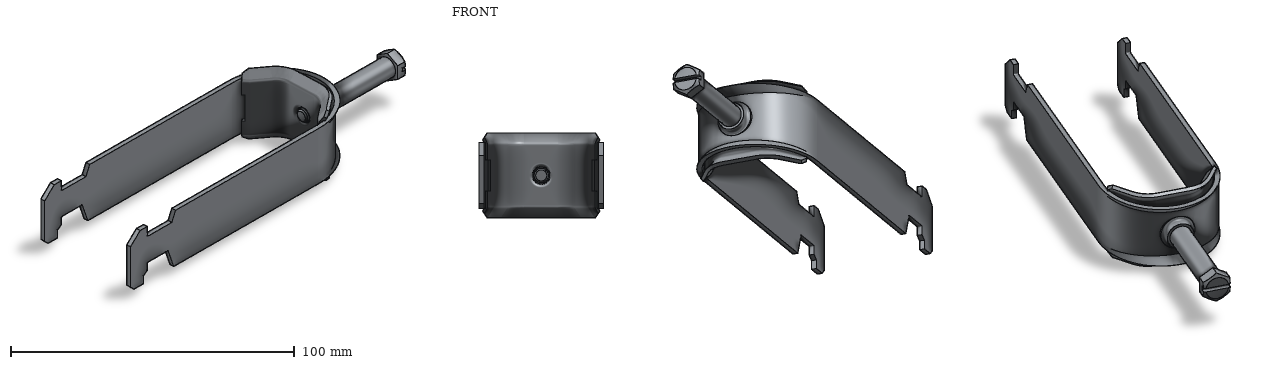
import cadquery as cq
import math

STRAP_WIDTH = 44.0
STRAP_THICKNESS = 1.9
STRAP_HEIGHT = 23.3
OUTER_RADIUS = STRAP_WIDTH / 2
INNER_RADIUS = OUTER_RADIUS - STRAP_THICKNESS
LEG_LENGTH = 95.1
CROWN_Y = LEG_LENGTH + OUTER_RADIUS
CROWN_INNER_Y = LEG_LENGTH + INNER_RADIUS
HALF_HEIGHT = STRAP_HEIGHT / 2

FLARE_HEIGHT = 2.8
FLARE_START_HEIGHT = 0.5
FLARE_GROWTH = (FLARE_HEIGHT - FLARE_START_HEIGHT) / OUTER_RADIUS

COLLAR_DIAMETER = 10.0
COLLAR_BASE_FILLET = 1.4

HOOK_LENGTH = 8.5
HOOK_CORNER_LENGTH = 4.9
HOOK_CORNER_HEIGHT = 4.5
HOOK_FOOT_CHAMFER = 1.7
HOOK_FOOT_LENGTH = 6.6
HOOK_FOOT_HEIGHT = 3.3
HOOK_FOOT_RISE = 1.4
UPPER_NECK_Z = 7.4
UPPER_NECK_END = 21.0
UPPER_SHOULDER = 22.8
LOWER_NECK_Z = -3.6
LOWER_NECK_END = 19.0
LOWER_SHOULDER = 21.9
NECK_FILLET = 0.5

TOTAL_LENGTH = 157.5
SHANK_DIAMETER = 8.0
NECK_DIAMETER = 6.6
TIP_DIAMETER = 5.0
TIP_FACE_DIAMETER = 4.0
TIP_Y = 109.3
HEAD_HEIGHT = 4.5
HEAD_ACROSS_FLATS = 10.1
HEAD_TOP_DIAMETER = 8.5
HEAD_CHAMFER_ANGLE = 30.0
SLOT_WIDTH = 1.4
SLOT_DEPTH = 2.0

SADDLE_THICKNESS = 1.4
SADDLE_HEIGHT = 30.0
SADDLE_FACE_Y = 109.6
SADDLE_BACK_Y = SADDLE_FACE_Y + SADDLE_THICKNESS
FLAT_HALF_WIDTH = 6.0
BEND_RADIUS = 7.1
WING_ANGLE = 53.0
WING_KINK_X = 16.5
TOE_ANGLE = 37.0
TOE_END_X = 18.9
KINK_RADIUS = 1.9
FLANGE_ANGLE = 40.0
FLANGE_FACE_LENGTH = 4.1
FLANGE_BEND_RADIUS = 2.0
FLANGE_CORNER_START_X = 19.0
FLANGE_CORNER_RUN = 1.9
FLANGE_CORNER_DROP = 2.8
SADDLE_HOLE_DIAMETER = 6.0
SADDLE_HOLE_ROUNDING = 1.4
NOTCH_HEIGHT = 11.0
NOTCH_FLOOR_X = 18.0


def y_cylinder(diameter, y_start, y_end):
    """Cylinder on the Y axis."""
    return (
        cq.Workplane("XZ", origin=(0, y_start, 0))
        .circle(diameter / 2)
        .extrude(y_start - y_end)
    )


def x_prism(outline):
    """Prism along X, wider than the strap, from (y, z) corners."""
    return (
        cq.Workplane("YZ", origin=(-STRAP_WIDTH, 0, 0))
        .polyline(outline)
        .close()
        .extrude(2 * STRAP_WIDTH)
    )


def band(height):
    """U-shaped band of the strap thickness, centred on z = 0."""
    return (
        cq.Workplane("XY", origin=(0, 0, -height / 2))
        .moveTo(-OUTER_RADIUS, 0)
        .lineTo(-OUTER_RADIUS, LEG_LENGTH)
        .threePointArc((0, CROWN_Y), (OUTER_RADIUS, LEG_LENGTH))
        .lineTo(OUTER_RADIUS, 0)
        .lineTo(INNER_RADIUS, 0)
        .lineTo(INNER_RADIUS, LEG_LENGTH)
        .threePointArc((0, CROWN_INNER_Y), (-INNER_RADIUS, LEG_LENGTH))
        .lineTo(-INNER_RADIUS, 0)
        .close()
        .extrude(height)
    )


def flared_band():
    """Band whose upper and lower edges lean 45 degrees towards +Y around the crown."""
    crease_start_y = LEG_LENGTH - FLARE_START_HEIGHT / FLARE_GROWTH
    crease_crown_z = HALF_HEIGHT - FLARE_HEIGHT
    tall = band(2 * STRAP_HEIGHT)
    body_outline = [
        (0, HALF_HEIGHT),
        (crease_start_y, HALF_HEIGHT),
        (CROWN_Y, crease_crown_z),
        (CROWN_Y, -crease_crown_z),
        (crease_start_y, -HALF_HEIGHT),
        (0, -HALF_HEIGHT),
    ]
    body = tall.intersect(x_prism(body_outline))
    slope_normal = cq.selectors.ParallelDirSelector(cq.Vector(0, FLARE_GROWTH, 1))
    slope = body.faces(slope_normal).faces(">Z").val()
    flare = cq.Workplane(cq.Solid.extrudeLinear(slope, cq.Vector(0, STRAP_HEIGHT, STRAP_HEIGHT)))
    flare = flare.intersect(
        cq.Workplane("XY").box(2 * TOTAL_LENGTH, 2 * TOTAL_LENGTH, STRAP_HEIGHT)
    )
    return body.union(flare).union(flare.mirror("XY"))


def nearest_edge(y, z):
    return cq.selectors.NearestToPointSelector((0, y, z))


def hooked_end_cutters():
    """Notches and corner cuts that leave a hook on the free end of each leg."""
    upper_notch = [
        (HOOK_LENGTH, HALF_HEIGHT),
        (HOOK_LENGTH, UPPER_NECK_Z),
        (UPPER_NECK_END, UPPER_NECK_Z),
        (UPPER_SHOULDER, HALF_HEIGHT),
    ]
    step_z = -HALF_HEIGHT + HOOK_FOOT_HEIGHT
    lower_notch = [
        (HOOK_LENGTH, LOWER_NECK_Z),
        (LOWER_NECK_END, LOWER_NECK_Z),
        (LOWER_SHOULDER, -HALF_HEIGHT),
        (HOOK_FOOT_LENGTH, -HALF_HEIGHT),
        (HOOK_FOOT_LENGTH, step_z),
        (HOOK_LENGTH, step_z + HOOK_FOOT_RISE),
    ]
    upper_corner = [
        (0, HALF_HEIGHT),
        (HOOK_CORNER_LENGTH, HALF_HEIGHT),
        (0, HALF_HEIGHT - HOOK_CORNER_HEIGHT),
    ]
    lower_corner = [
        (0, -HALF_HEIGHT),
        (HOOK_FOOT_CHAMFER, -HALF_HEIGHT),
        (0, -HALF_HEIGHT + HOOK_FOOT_CHAMFER),
    ]
    upper = x_prism(upper_notch)
    upper = upper.edges(nearest_edge(HOOK_LENGTH, UPPER_NECK_Z)).fillet(NECK_FILLET)
    lower = x_prism(lower_notch)
    lower = lower.edges(nearest_edge(HOOK_LENGTH, LOWER_NECK_Z)).fillet(NECK_FILLET)
    return [upper, lower, x_prism(upper_corner), x_prism(lower_corner)]


def collar():
    """Round collar on the crown, widening into the band through a concave fillet."""
    outer = COLLAR_DIAMETER / 2
    foot = outer + COLLAR_BASE_FILLET
    top_y = CROWN_Y + FLARE_HEIGHT
    knee_y = CROWN_Y + COLLAR_BASE_FILLET
    bulge = COLLAR_BASE_FILLET * (1 - math.sqrt(0.5))
    return (
        cq.Workplane("XY")
        .moveTo(0, CROWN_INNER_Y)
        .lineTo(0, top_y)
        .lineTo(outer, top_y)
        .lineTo(outer, knee_y)
        .threePointArc((outer + bulge, CROWN_Y + bulge), (foot, CROWN_Y))
        .lineTo(foot, CROWN_INNER_Y)
        .close()
        .revolve(360, (0, 0, 0), (0, 1, 0))
        .cut(
            cq.Workplane("XY").center(0, LEG_LENGTH).circle(INNER_RADIUS)
            .extrude(STRAP_HEIGHT, both=True)
        )
    )


def make_strap():
    strap = flared_band()
    for cutter in hooked_end_cutters():
        strap = strap.cut(cutter)
    strap = strap.union(collar())
    return strap.cut(y_cylinder(SHANK_DIAMETER, LEG_LENGTH, TOTAL_LENGTH))


def make_bolt():
    """Slotted hexagon-head bolt whose neck rests on the saddle and whose tip enters its hole."""
    head_y = TOTAL_LENGTH - HEAD_HEIGHT
    head = (
        cq.Workplane("XZ", origin=(0, head_y, 0))
        .polygon(6, HEAD_ACROSS_FLATS, circumscribed=True)
        .extrude(-HEAD_HEIGHT)
    )
    cone_base_radius = HEAD_TOP_DIAMETER / 2 + HEAD_HEIGHT / math.tan(math.radians(HEAD_CHAMFER_ANGLE))
    cone = (
        cq.Workplane("XY")
        .moveTo(0, head_y)
        .lineTo(0, TOTAL_LENGTH)
        .lineTo(HEAD_TOP_DIAMETER / 2, TOTAL_LENGTH)
        .lineTo(cone_base_radius, head_y)
        .close()
        .revolve(360, (0, 0, 0), (0, 1, 0))
    )
    slot = cq.Workplane("XY").box(2 * HEAD_ACROSS_FLATS, 2 * SLOT_DEPTH, SLOT_WIDTH)
    head = head.intersect(cone).cut(slot.translate((0, TOTAL_LENGTH, 0)))
    shank = y_cylinder(SHANK_DIAMETER, CROWN_INNER_Y, head_y)
    neck = y_cylinder(NECK_DIAMETER, SADDLE_BACK_Y, CROWN_INNER_Y)
    tip = y_cylinder(TIP_DIAMETER, TIP_Y, SADDLE_BACK_Y)
    tip = tip.faces("<Y").chamfer((TIP_DIAMETER - TIP_FACE_DIAMETER) / 2)
    return head.union(shank).union(neck).union(tip)


def channel_section():
    """Cross-section at x = 0: a flat web with a rounded bend into each leaning flange."""
    lean = math.radians(FLANGE_ANGLE)
    bend_y = SADDLE_FACE_Y + FLANGE_BEND_RADIUS
    flange_rise = FLANGE_BEND_RADIUS * math.sin(lean) + FLANGE_FACE_LENGTH * math.cos(lean)
    bend_z = SADDLE_HEIGHT / 2 - flange_rise

    def bend_point(radius, angle, length, side):
        """Point on the bend at an angle from -Y, carried on along the flange by a length."""
        y = bend_y - radius * math.cos(angle) + length * math.sin(angle)
        z = bend_z + radius * math.sin(angle) + length * math.cos(angle)
        return y, side * z

    face = FLANGE_BEND_RADIUS
    back = FLANGE_BEND_RADIUS - SADDLE_THICKNESS
    return (
        cq.Workplane("YZ")
        .moveTo(*bend_point(face, 0, 0, -1))
        .lineTo(*bend_point(face, 0, 0, 1))
        .threePointArc(bend_point(face, lean / 2, 0, 1), bend_point(face, lean, 0, 1))
        .lineTo(*bend_point(face, lean, FLANGE_FACE_LENGTH, 1))
        .lineTo(*bend_point(back, lean, FLANGE_FACE_LENGTH, 1))
        .lineTo(*bend_point(back, lean, 0, 1))
        .threePointArc(bend_point(back, lean / 2, 0, 1), bend_point(back, 0, 0, 1))
        .lineTo(*bend_point(back, 0, 0, -1))
        .threePointArc(bend_point(back, lean / 2, 0, -1), bend_point(back, lean, 0, -1))
        .lineTo(*bend_point(back, lean, FLANGE_FACE_LENGTH, -1))
        .lineTo(*bend_point(face, lean, FLANGE_FACE_LENGTH, -1))
        .lineTo(*bend_point(face, lean, 0, -1))
        .threePointArc(bend_point(face, lean / 2, 0, -1), bend_point(face, 0, 0, -1))
        .close()
    )


def web_bend_point(angle):
    """Point on the web face in the bend between the flat and the wing."""
    x = FLAT_HALF_WIDTH + BEND_RADIUS * math.sin(angle)
    y = SADDLE_FACE_Y - BEND_RADIUS * (1 - math.cos(angle))
    return x, y


def toe_face_y(x):
    """Y of the web face at a given x on the toe."""
    wing = math.radians(WING_ANGLE)
    bend_end_x, bend_end_y = web_bend_point(wing)
    kink_y = bend_end_y - (WING_KINK_X - bend_end_x) * math.tan(wing)
    return kink_y - (x - WING_KINK_X) * math.tan(math.radians(TOE_ANGLE))


def saddle_half():
    wing = math.radians(WING_ANGLE)
    kink_y = toe_face_y(WING_KINK_X)
    path = (
        cq.Workplane("XY")
        .moveTo(0, SADDLE_FACE_Y)
        .lineTo(FLAT_HALF_WIDTH, SADDLE_FACE_Y)
        .threePointArc(web_bend_point(wing / 2), web_bend_point(wing))
        .lineTo(WING_KINK_X, kink_y)
        .lineTo(TOE_END_X, toe_face_y(TOE_END_X))
    )
    wing_half = channel_section().sweep(path, transition="right")
    kink = cq.selectors.NearestToPointSelector((WING_KINK_X, kink_y, 0))
    return wing_half.edges("|Z").edges(kink).fillet(KINK_RADIUS)


def saddle_hole():
    """Round hole along Y whose mouth is rounded over the face towards -Y."""
    radius = SADDLE_HOLE_DIAMETER / 2
    mouth = radius + SADDLE_HOLE_ROUNDING
    shift = SADDLE_HOLE_ROUNDING * (1 - math.sqrt(0.5))
    return (
        cq.Workplane("XY")
        .moveTo(0, SADDLE_FACE_Y)
        .lineTo(mouth, SADDLE_FACE_Y)
        .threePointArc(
            (radius + shift, SADDLE_FACE_Y + shift),
            (radius, SADDLE_FACE_Y + SADDLE_HOLE_ROUNDING),
        )
        .lineTo(radius, CROWN_Y)
        .lineTo(0, CROWN_Y)
        .close()
        .revolve(360, (0, 0, 0), (0, 1, 0))
    )


def flange_corner_cutter():
    """Prism along Y that cuts the upper corner of the +X wing."""
    top_z = SADDLE_HEIGHT / 2
    outline = [
        (FLANGE_CORNER_START_X, top_z),
        (FLANGE_CORNER_START_X + 2 * FLANGE_CORNER_RUN, top_z - 2 * FLANGE_CORNER_DROP),
        (FLANGE_CORNER_START_X + 2 * FLANGE_CORNER_RUN, top_z),
    ]
    return cq.Workplane("XZ").polyline(outline).close().extrude(-TOTAL_LENGTH)


def toe_notch():
    """Block that notches the middle of the +X toe, its floor square to the toe."""
    return (
        cq.Workplane("XY")
        .box(STRAP_WIDTH, STRAP_WIDTH, NOTCH_HEIGHT, centered=(False, True, True))
        .rotate((0, 0, 0), (0, 0, 1), -TOE_ANGLE)
        .translate((NOTCH_FLOOR_X, toe_face_y(NOTCH_FLOOR_X), 0))
    )


def make_saddle(strap):
    corner = flange_corner_cutter()
    half = saddle_half().cut(corner).cut(corner.mirror("XY")).cut(toe_notch())
    saddle = half.union(half.mirror("YZ")).cut(saddle_hole())
    return saddle.cut(strap)


strap = make_strap()
bolt = make_bolt()
saddle = make_saddle(strap)
result = cq.Compound.makeCompound([strap.val(), bolt.val(), saddle.val()])